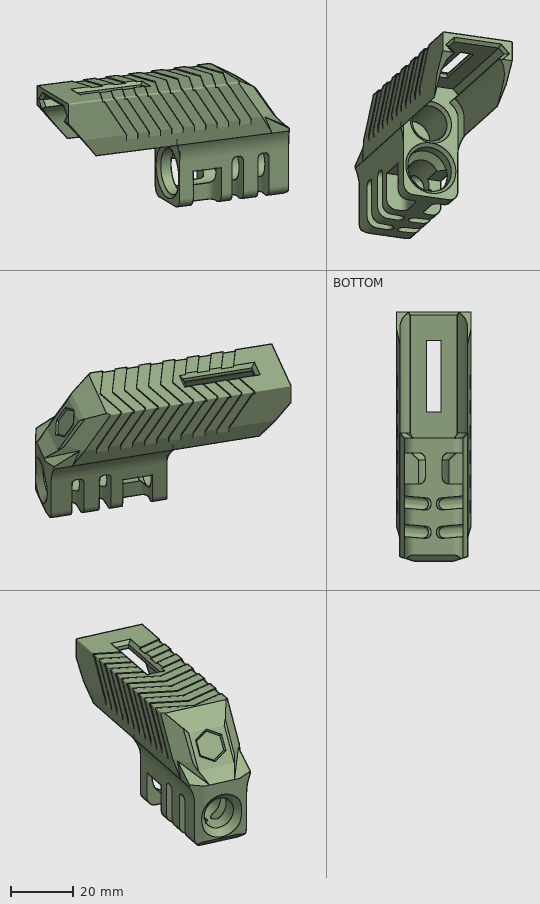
import cadquery as cq


LENGTH = 80
HALF_WIDTH = 12
HEIGHT = 40.7
OVERSIZE = 48

COVER_BOTTOM_Z = 21.9
TAPER_TOP_Z = 27.9
COVER_BOTTOM_HALF = 10.9
TOP_FILLET = 0.5
FRONT_EDGE_Z = 34.2
FRONT_CUT_Y = 10.2

SLOPE_START = (61.0, HEIGHT)
SLOPE_END = (67.6, 37.1)
PANEL_TOP = (68.9, 36)
PANEL_BOTTOM = (76.1, 25.5)
PANEL_HALF = 6.4
FACET_TOP = (11.3, 60.7, HEIGHT)
FACET_KNEE = (HALF_WIDTH, 68.6, TAPER_TOP_Z)
FACET_INNER = (7.4, *SLOPE_END)
LOWER_FACET_INNER = (7.8, 73.3, 28.2)
PANEL_EDGE_FOOT = (7.8, 73.1, 28.6)
FACET_FOOT = (COVER_BOTTOM_HALF, 72.5, COVER_BOTTOM_Z)

HOOD_HALF = 11.0
HOOD_SLOPE = 0.56
HOOD_START_Y = 64
REAR_FLAT_HALF = 6.2
REAR_CORNER_Y = 78.5

HEX_DIAMETER = 10.8
HEX_CENTRE_Y = 71.9
HEX_DEPTH = 0.5
HEX_TAPER = 45

GROOVE_COUNT = 6
GROOVE_PITCH = 8
GROOVE_WIDTH = 4
GROOVE_DEPTH = 0.3
GROOVE_SIDE_Y = 56.2
GROOVE_FOOT_Y = 64.6
CHEVRON_RISE = 3.9
CHEVRON_HALF = 11.3

BODY_FRONT_Y = 40.5
RAIL_TOP_Z = 38.2
RAIL_NOTCH_Z = 36.4
RAIL_NOTCH_HALF = 9.5
RAIL_NECK_Z = 33.2
RAIL_LEAD_IN = 1.4
RAIL_LEAD_IN_ROOF = 1.1
RAIL_LEAD_IN_LENGTH = 1.0
ARCH_SPRING_Z = 28
ARCH_WALL_HALF = 10.9
ARCH_LIP_TOP = (7.7, 34.4)
ARCH_LIP_FOOT = (8.9, 33.2)
ARCH_END_WALL_HALF = 9.4
ARCH_END_LIP_TOP = (6.6, 34.0)
ARCH_END_LIP_FOOT = (6.6, 33.2)
ARCH_DRAFT_LENGTH = 1.6

TOP_SLOT_CENTRE_Y = 20.6
TOP_SLOT_WIDTH = 4.6
TOP_SLOT_LENGTH = 22.9
TOP_SLOT_FLARE = 1.2

LOWER_HALF = 9.4
FLARE_START_Z = 15.9
LOWER_FILLET = 3.2
REAR_BOTTOM_CHAMFER = 2.1

UPPER_BORE_Z = 25.8
UPPER_BORE_DIAMETER = 12
UPPER_BORE_DEPTH = 16
LOWER_BORE_Z = 10.0
THROUGH_DIAMETER = 10.5
COUNTERBORE_DIAMETER = 15.0
COUNTERBORE_END_Y = 45.3
THROUGH_START_Y = 47.5
BORE_CHAMFER = 1.1

SLOT_FRONT_YS = (59.0, 68.2)
SLOT_WIDTH = 3.9
SLOT_TOP_Z = 15.1
SLOT_TOP_FILLET = 1.6
SLOT_SKEW = 5
SLOT_INNER_X = 0.8
WINDOW_INNER_X = 2.7
WINDOW_FRONT_Y = 45.3
WINDOW_REAR_Y = 55.2
WINDOW_TOP_Z = 12.1
WINDOW_FILLET = 2.1


def mirrored(shape):
    """Return the shape together with its mirror image across X = 0."""
    return shape.union(shape.mirror("YZ"))


def extrude_along_y(outline, start_y, end_y):
    """Extrude a closed XZ outline between two Y positions."""
    return outline(cq.Workplane("XZ", origin=(0, start_y, 0))).extrude(start_y - end_y)


def extrude_across(profile):
    """Extrude a closed YZ profile across the full width."""
    return cq.Workplane("YZ").polyline(profile).close().extrude(HALF_WIDTH, both=True)


def outer_half_space(a, b, c):
    """Return a large block on the rear side of the plane through three points."""
    normal = (cq.Vector(*b) - cq.Vector(*a)).cross(cq.Vector(*c) - cq.Vector(*a))
    if normal.y < 0:
        normal = normal * -1
    plane = cq.Plane(origin=a, normal=normal)
    return cq.Workplane(plane).rect(2 * OVERSIZE, 2 * OVERSIZE).extrude(OVERSIZE)


def cover_outline(inset):
    """Return a function drawing the cover cross-section, moved inwards by an inset."""
    half = HALF_WIDTH - inset
    top = HEIGHT - inset

    def draw(plane):
        return (
            plane.moveTo(-COVER_BOTTOM_HALF, COVER_BOTTOM_Z)
            .lineTo(COVER_BOTTOM_HALF, COVER_BOTTOM_Z)
            .lineTo(half, TAPER_TOP_Z)
            .lineTo(half, top - TOP_FILLET)
            .tangentArcPoint((half - TOP_FILLET, top), relative=False)
            .lineTo(TOP_FILLET - half, top)
            .tangentArcPoint((-half, top - TOP_FILLET), relative=False)
            .lineTo(-half, TAPER_TOP_Z)
            .close()
        )

    return draw


def make_cover():
    """Cover bar with slanted front end and faceted rear end."""
    main_profile = [
        (0, HEIGHT),
        (0, FRONT_EDGE_Z),
        (FRONT_CUT_Y, COVER_BOTTOM_Z),
        (PANEL_BOTTOM[0], COVER_BOTTOM_Z),
        PANEL_BOTTOM,
        PANEL_TOP,
        SLOPE_END,
        SLOPE_START,
    ]
    foot_slope = (PANEL_BOTTOM[1] - COVER_BOTTOM_Z) / (LENGTH - PANEL_BOTTOM[0])
    foot_profile = [
        (SLOPE_END[0], COVER_BOTTOM_Z),
        (LENGTH, COVER_BOTTOM_Z),
        (SLOPE_END[0], COVER_BOTTOM_Z + foot_slope * (LENGTH - SLOPE_END[0])),
    ]
    section = extrude_along_y(cover_outline(0), 0, LENGTH)
    cover = extrude_across(main_profile).intersect(section)
    foot = extrude_across(foot_profile).intersect(section)

    panel_edge = outer_half_space((PANEL_HALF, *PANEL_TOP), (PANEL_HALF, *PANEL_BOTTOM), PANEL_EDGE_FOOT)
    upper_facet = outer_half_space(FACET_TOP, FACET_KNEE, FACET_INNER)
    lower_facet = outer_half_space(FACET_KNEE, LOWER_FACET_INNER, FACET_FOOT)
    cover = cover.cut(panel_edge).cut(panel_edge.mirror("YZ")).union(foot)
    for facet in (upper_facet, lower_facet):
        cover = cover.cut(facet).cut(facet.mirror("YZ"))
    return cover


def make_hex_recess():
    """Hexagonal recess with sloping walls in the rear panel."""
    run = PANEL_BOTTOM[0] - PANEL_TOP[0]
    drop = PANEL_TOP[1] - PANEL_BOTTOM[1]
    centre_z = PANEL_TOP[1] - (HEX_CENTRE_Y - PANEL_TOP[0]) * drop / run
    plane = cq.Plane(origin=(0, HEX_CENTRE_Y, centre_z), xDir=(0, run, -drop), normal=(0, drop, run))
    return cq.Workplane(plane).polygon(6, HEX_DIAMETER).extrude(-HEX_DEPTH, taper=HEX_TAPER)


def make_grooves():
    """Shallow slanted grooves on the sides that join in chevrons across the top."""
    skin = cq.Workplane("XY").box(2 * OVERSIZE, 2 * LENGTH, 2 * OVERSIZE)
    core = extrude_along_y(cover_outline(GROOVE_DEPTH), -LENGTH, LENGTH)
    core_side = cq.Workplane("XY").box(2 * (HALF_WIDTH - GROOVE_DEPTH), 2 * LENGTH, 2 * TAPER_TOP_Z)
    skin = skin.cut(core).cut(core_side)

    shoulder = TOP_FILLET + GROOVE_DEPTH
    apex_y = GROOVE_SIDE_Y + CHEVRON_RISE
    edge_y = apex_y - CHEVRON_RISE * HALF_WIDTH / CHEVRON_HALF
    bands = cq.Workplane("XY")
    for index in range(GROOVE_COUNT):
        shift = index * GROOVE_PITCH
        front_shift = shift + GROOVE_WIDTH
        side_band = cq.Workplane("YZ", origin=(HALF_WIDTH - shoulder, 0, 0)).polyline([
            (GROOVE_FOOT_Y - shift, COVER_BOTTOM_Z),
            (GROOVE_FOOT_Y - shift, TAPER_TOP_Z),
            (GROOVE_SIDE_Y - shift, HEIGHT),
            (GROOVE_SIDE_Y - front_shift, HEIGHT),
            (GROOVE_FOOT_Y - front_shift, TAPER_TOP_Z),
            (GROOVE_FOOT_Y - front_shift, COVER_BOTTOM_Z),
        ]).close().extrude(2 * shoulder)
        top_band = cq.Workplane("XY", origin=(0, 0, HEIGHT - shoulder)).polyline([
            (0, apex_y - shift),
            (HALF_WIDTH, edge_y - shift),
            (HALF_WIDTH, edge_y - front_shift),
            (0, apex_y - front_shift),
            (-HALF_WIDTH, edge_y - front_shift),
            (-HALF_WIDTH, edge_y - shift),
        ]).close().extrude(2 * shoulder)
        bands = bands.add(mirrored(side_band)).add(top_band)
    return bands.combine().intersect(skin)


def rear_plan_block(start_y):
    """Block as wide as the hood whose rear corners are cut back."""
    return cq.Workplane("XY").polyline([
        (-HOOD_HALF, start_y),
        (HOOD_HALF, start_y),
        (HOOD_HALF, REAR_CORNER_Y),
        (REAR_FLAT_HALF, LENGTH),
        (-REAR_FLAT_HALF, LENGTH),
        (-HOOD_HALF, REAR_CORNER_Y),
    ]).close().extrude(HEIGHT)


def make_hood():
    """Low wedge behind the facets with its rear corners cut back."""
    wedge = extrude_across([
        (HOOD_START_Y, COVER_BOTTOM_Z),
        (LENGTH, COVER_BOTTOM_Z),
        (HOOD_START_Y, COVER_BOTTOM_Z + HOOD_SLOPE * (LENGTH - HOOD_START_Y)),
    ])
    behind_facets = outer_half_space(FACET_KNEE, LOWER_FACET_INNER, FACET_FOOT)
    return rear_plan_block(HOOD_START_Y).intersect(wedge).intersect(mirrored(behind_facets))


def make_lower_body():
    """Lower block whose sides flare out to meet the cover."""
    start_y = BODY_FRONT_Y - ARCH_DRAFT_LENGTH
    flare_out = HOOD_HALF - LOWER_HALF
    flare_rise = COVER_BOTTOM_Z - FLARE_START_Z
    flare_radius = (flare_out**2 + flare_rise**2) / (2 * flare_out)

    def outline(plane):
        return (
            plane.moveTo(-LOWER_HALF, FLARE_START_Z)
            .lineTo(-LOWER_HALF, LOWER_FILLET)
            .tangentArcPoint((LOWER_FILLET - LOWER_HALF, 0), relative=False)
            .lineTo(LOWER_HALF - LOWER_FILLET, 0)
            .tangentArcPoint((LOWER_HALF, LOWER_FILLET), relative=False)
            .lineTo(LOWER_HALF, FLARE_START_Z)
            .tangentArcPoint((HOOD_HALF, COVER_BOTTOM_Z), relative=False)
            .lineTo(-HOOD_HALF, COVER_BOTTOM_Z)
            .radiusArc((-LOWER_HALF, FLARE_START_Z), flare_radius)
            .close()
        )

    body = extrude_along_y(outline, start_y, LENGTH).intersect(rear_plan_block(start_y))
    chamfer = extrude_across([
        (LENGTH - REAR_BOTTOM_CHAMFER, 0),
        (LENGTH, 0),
        (LENGTH, REAR_BOTTOM_CHAMFER),
    ])
    return body.cut(chamfer)


def rail_outline(plane, widening, rise):
    """Draw the faceted head of the channel, with 45 degree flanks above and below the notch."""
    top_z = RAIL_TOP_Z + rise
    notch_half = RAIL_NOTCH_HALF + widening
    roof_half = notch_half - (top_z - RAIL_NOTCH_Z)
    neck_half = notch_half - (RAIL_NOTCH_Z - RAIL_NECK_Z)
    return plane.polyline([
        (roof_half, top_z),
        (notch_half, RAIL_NOTCH_Z),
        (neck_half, RAIL_NECK_Z),
        (-neck_half, RAIL_NECK_Z),
        (-notch_half, RAIL_NOTCH_Z),
        (-roof_half, top_z),
    ]).close()


def make_rail():
    """Faceted head of the channel with a lead-in at the front end."""
    rail = rail_outline(cq.Workplane("XZ"), 0, 0).extrude(-BODY_FRONT_Y)
    lead_in = rail_outline(cq.Workplane("XZ"), RAIL_LEAD_IN, RAIL_LEAD_IN_ROOF)
    lead_in = rail_outline(lead_in.workplane(offset=-RAIL_LEAD_IN_LENGTH), 0, 0)
    return rail.union(lead_in.loft(ruled=True))


def arch_outline(plane, wall_half, lip_top, lip_foot):
    """Draw the arched lower part of the channel, open at the underside."""
    run = wall_half - lip_foot[0]
    rise = lip_foot[1] - ARCH_SPRING_Z
    radius = (run**2 + rise**2) / (2 * run)
    return (
        plane.moveTo(*lip_top)
        .lineTo(*lip_foot)
        .radiusArc((wall_half, ARCH_SPRING_Z), radius)
        .lineTo(wall_half, 0)
        .lineTo(-wall_half, 0)
        .lineTo(-wall_half, ARCH_SPRING_Z)
        .radiusArc((-lip_foot[0], lip_foot[1]), radius)
        .lineTo(-lip_top[0], lip_top[1])
        .close()
    )


def make_arch():
    """Lower part of the channel, narrowing where it ends against the lower body."""
    draft_start_y = BODY_FRONT_Y - ARCH_DRAFT_LENGTH
    wide = (ARCH_WALL_HALF, ARCH_LIP_TOP, ARCH_LIP_FOOT)
    narrow = (ARCH_END_WALL_HALF, ARCH_END_LIP_TOP, ARCH_END_LIP_FOOT)
    straight = arch_outline(cq.Workplane("XZ"), *wide).extrude(-draft_start_y)
    draft = arch_outline(cq.Workplane("XZ", origin=(0, draft_start_y, 0)), *wide)
    draft = arch_outline(draft.workplane(offset=-ARCH_DRAFT_LENGTH), *narrow)
    return straight.union(draft.loft(ruled=True))


def make_top_slot():
    """Rectangular slot through the cover top with flared walls."""
    rim_width = TOP_SLOT_WIDTH + 2 * TOP_SLOT_FLARE
    rim_length = TOP_SLOT_LENGTH + 2 * TOP_SLOT_FLARE
    return (
        cq.Workplane("XY", origin=(0, TOP_SLOT_CENTRE_Y, HEIGHT))
        .rect(rim_width, rim_length)
        .workplane(offset=-TOP_SLOT_FLARE)
        .rect(TOP_SLOT_WIDTH, TOP_SLOT_LENGTH)
        .loft(ruled=True)
        .faces("<Z").workplane()
        .rect(TOP_SLOT_WIDTH, TOP_SLOT_LENGTH)
        .extrude(HEIGHT - RAIL_NOTCH_Z - TOP_SLOT_FLARE)
    )


def turned_along_y(points, axis_z):
    """Revolve (radius, Y) points about a line parallel to Y at the given height."""
    plane = cq.Workplane("XY", origin=(0, 0, axis_z))
    return plane.polyline(points).close().revolve(360, (0, 0), (0, 1))


def make_bores():
    """Blind upper bore and stepped lower through-bore."""
    upper_radius = UPPER_BORE_DIAMETER / 2
    upper = turned_along_y([
        (0, BODY_FRONT_Y),
        (upper_radius + BORE_CHAMFER, BODY_FRONT_Y),
        (upper_radius, BODY_FRONT_Y + BORE_CHAMFER),
        (upper_radius, BODY_FRONT_Y + UPPER_BORE_DEPTH),
        (0, BODY_FRONT_Y + UPPER_BORE_DEPTH),
    ], UPPER_BORE_Z)
    wide_radius = COUNTERBORE_DIAMETER / 2
    through_radius = THROUGH_DIAMETER / 2
    lower = turned_along_y([
        (0, BODY_FRONT_Y),
        (wide_radius + BORE_CHAMFER, BODY_FRONT_Y),
        (wide_radius, BODY_FRONT_Y + BORE_CHAMFER),
        (wide_radius, COUNTERBORE_END_Y),
        (through_radius, THROUGH_START_Y),
        (through_radius, LENGTH - (wide_radius - through_radius)),
        (wide_radius, LENGTH),
        (0, LENGTH),
    ], LOWER_BORE_Z)
    return upper.union(lower)


def make_side_slot(front_y):
    """Skewed slot with a round inner end, open at the side and below."""
    radius = SLOT_WIDTH / 2
    centre_y = front_y + radius
    round_x = SLOT_INNER_X + radius
    slot = (
        cq.Workplane("XY")
        .moveTo(HALF_WIDTH, front_y)
        .lineTo(HALF_WIDTH, front_y + SLOT_WIDTH)
        .lineTo(round_x, front_y + SLOT_WIDTH)
        .threePointArc((SLOT_INNER_X, centre_y), (round_x, front_y))
        .close()
        .extrude(SLOT_TOP_Z)
        .faces(">Z").edges("not >X")
        .fillet(SLOT_TOP_FILLET)
    )
    return mirrored(slot.rotate((LOWER_HALF, centre_y, 0), (LOWER_HALF, centre_y, 1), -SLOT_SKEW))


def make_window():
    """Wide side window with rounded inner corners, open at the side and below."""
    window = (
        cq.Workplane("XY")
        .moveTo(WINDOW_INNER_X, WINDOW_FRONT_Y)
        .lineTo(HALF_WIDTH, WINDOW_FRONT_Y)
        .lineTo(HALF_WIDTH, WINDOW_REAR_Y)
        .lineTo(WINDOW_INNER_X, WINDOW_REAR_Y)
        .close()
        .extrude(WINDOW_TOP_Z)
        .edges("|Z and <X")
        .fillet(WINDOW_FILLET)
    )
    return mirrored(window)


result = make_cover().cut(make_grooves()).cut(make_hex_recess())
result = result.union(make_hood()).union(make_lower_body())
result = result.cut(make_rail()).cut(make_arch()).cut(make_top_slot())
result = result.cut(make_bores()).cut(make_window())
for slot_front_y in SLOT_FRONT_YS:
    result = result.cut(make_side_slot(slot_front_y))